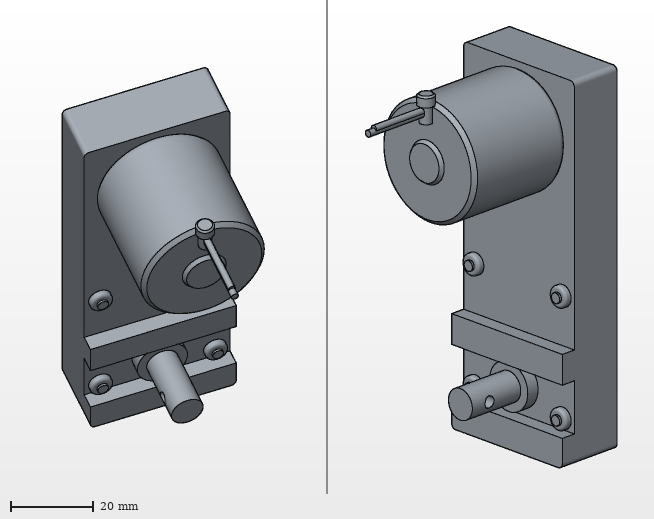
import cadquery as cq

housing_depth = 14.7
housing_width = 38.0
housing_height = 100.0
corner_radius = 1.4

foot_front = 18.8
lower_foot_top = 8.1
upper_foot_bottom = 21.9
upper_foot_top = 30.0

motor_axis_z = 82.5
motor_radius = 16.1
motor_start = 14.3
motor_end = 46.1
motor_shoulder_radius = 2.1
motor_end_chamfer = 1.1
motor_boss_radius = 5.7
motor_boss_height = 1.1
motor_boss_tip_radius = 5.0

post_x = 46.6
post_radius = 1.7
post_bottom = 93.1
cap_radius = 2.3
cap_bottom = 97.7
total_height = 100.6
cap_chamfer = 0.5

wire_radius = 0.9
upper_wire_z = 96.4
upper_wire_end = 64.5
lower_wire_z = 95.7
total_length = 66.5

shaft_axis_z = 16.1
shaft_radius = 4.1
shaft_end = 34.8
hub_radius = 6.5
hub_end = 18.2
cross_hole_x = 28.9
cross_hole_diameter = 3.1

screw_y = 15.0
screw_heights = (11.1, 43.1)
screw_radius = 2.9
screw_head_height = 1.8
screw_edge_radius = 0.8
screw_tip_radius = 1.4
screw_tip_height = 0.6


def cylinder_along_x(start, end, radius, axis_z, axis_y=0):
    """A round bar along X between two X positions."""
    plane = cq.Workplane("YZ", origin=(start, axis_y, axis_z))
    return plane.circle(radius).extrude(end - start)


def cylinder_along_z(bottom, top, radius):
    """A round bar on the terminal post's vertical axis."""
    plane = cq.Workplane("XY", origin=(post_x, 0, bottom))
    return plane.circle(radius).extrude(top - bottom)


def block(depth, bottom, top):
    """A full-width block between two heights, with its back at X = 0."""
    base = cq.Workplane("XY", origin=(0, 0, bottom))
    return base.box(depth, housing_width, top - bottom, centered=(False, True, False))


def make_housing():
    body = block(housing_depth, 0, housing_height)
    lower_foot = block(foot_front, 0, lower_foot_top)
    upper_foot = block(foot_front, upper_foot_bottom, upper_foot_top)
    outline = block(foot_front, 0, housing_height).edges("|X").fillet(corner_radius)
    return body.union(lower_foot).union(upper_foot).intersect(outline)


def make_motor():
    body = (
        cylinder_along_x(motor_start, motor_end, motor_radius, motor_axis_z)
        .faces("<X")
        .edges()
        .fillet(motor_shoulder_radius)
        .faces(">X")
        .edges()
        .chamfer(motor_end_chamfer)
    )
    boss = (
        cq.Workplane("YZ", origin=(motor_end, 0, motor_axis_z))
        .circle(motor_boss_radius)
        .workplane(offset=motor_boss_height)
        .circle(motor_boss_tip_radius)
        .loft()
    )
    return body.union(boss)


def make_terminal():
    post = cylinder_along_z(post_bottom, cap_bottom, post_radius)
    cap = (
        cylinder_along_z(cap_bottom, total_height, cap_radius)
        .faces(">Z")
        .edges()
        .chamfer(cap_chamfer)
    )
    upper_wire = cylinder_along_x(post_x, upper_wire_end, wire_radius, upper_wire_z)
    lower_wire = cylinder_along_x(post_x, total_length, wire_radius, lower_wire_z)
    return post.union(cap).union(upper_wire).union(lower_wire)


def make_output_shaft():
    hub = cylinder_along_x(housing_depth, hub_end, hub_radius, shaft_axis_z)
    shaft = cylinder_along_x(housing_depth, shaft_end, shaft_radius, shaft_axis_z)
    cross_hole = (
        cq.Workplane("XZ", origin=(cross_hole_x, 0, shaft_axis_z))
        .circle(cross_hole_diameter / 2)
        .extrude(shaft_radius, both=True)
    )
    return hub.union(shaft).cut(cross_hole)


def make_screw_head(y, z):
    """A round head with a rounded front edge and a small raised centre."""
    head_front = housing_depth + screw_head_height
    head = cylinder_along_x(housing_depth, head_front, screw_radius, z, y)
    head = head.faces(">X").edges().fillet(screw_edge_radius)
    tip = cylinder_along_x(head_front, head_front + screw_tip_height, screw_tip_radius, z, y)
    return head.union(tip)


result = make_housing().union(make_motor()).union(make_terminal()).union(make_output_shaft())
for screw_z in screw_heights:
    for side in (-1, 1):
        result = result.union(make_screw_head(side * screw_y, screw_z))